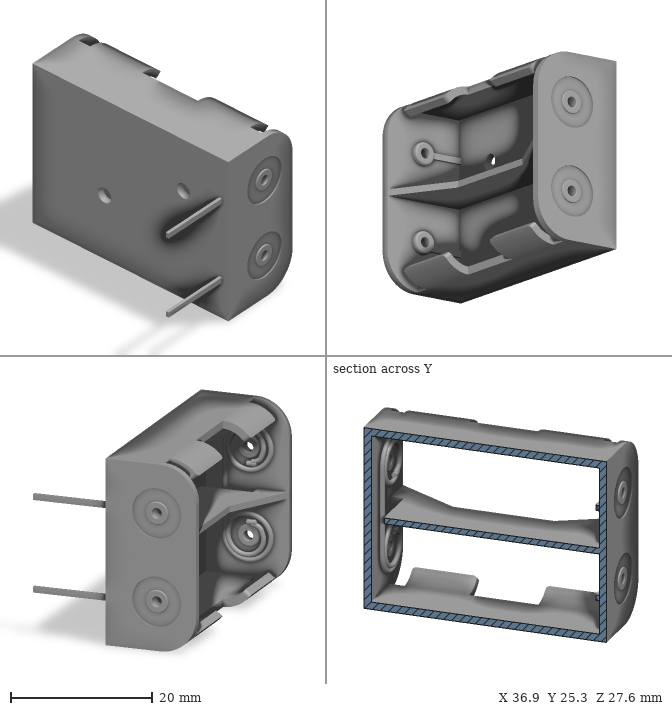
import cadquery as cq
import math


LENGTH = 36.88
DEPTH = 13.83
HEIGHT = 27.6
WALL = 1.18
CORNER_RADIUS = 5.42
ARC_START_Y = DEPTH - CORNER_RADIUS
ARC_CENTER_Z = HEIGHT / 2 - CORNER_RADIUS
RIM_Y = ARC_START_Y + 0.15
INNER_END_X = LENGTH / 2 - WALL

CELL_Y = 7.82
CELL_Z = 6.53
DIVIDER = 0.95
BAY_TOP_Z = HEIGHT / 2 - WALL

CLIP_INNER_X = 5.25
CLIP_OUTER_X = 15.05
CLIP_RISE = 4.35
CLIP_CORNER_RADIUS = 0.55

GUSSET_LENGTH = 9.6
PASSAGE_LENGTH = 1.95
PASSAGE_TOP_Y = 9.15

MOUNT_HOLE_RADIUS = 1.25
MOUNT_HOLES = [(10.0, 4.9), (-4.83, -2.75)]

RECESS_RADIUS = 3.72
RECESS_DEPTH = 0.25
HEAD_RADIUS = 1.7
HEAD_THICKNESS = 0.45
INNER_HEAD_FILLET = 0.35
OUTER_HEAD_FILLET = 0.15
SHANK_RADIUS = 1.3
BORE_RADIUS = 0.75
BORE_FILLET = 0.1

TERMINAL_THICKNESS = 0.5
PIN_WIDTH = 0.9
PIN_LENGTH = 11.47
LOWER_PIN_OFFSET = -0.63
TERMINALS = [(CELL_Z, CELL_Z), (-CELL_Z, -CELL_Z + LOWER_PIN_OFFSET)]

WIRE_RADIUS = 0.37
WIRE_GAP = 0.1
COIL_RADIUS = 3.5
COIL_END_RADIUS = 2.2
COIL_RISE = 0.4
COIL_TURNS = 1.25
COIL_POINTS = 20


def box(x_range, y_range, z_range):
    """Box between the given limits on each axis."""
    size = [high - low for low, high in (x_range, y_range, z_range)]
    return cq.Workplane("XY").box(*size, centered=False).translate((x_range[0], y_range[0], z_range[0]))


def x_cylinder(radius, x_start, x_end, z):
    """Cylinder along X, centred on the cell axis at height z."""
    return cq.Workplane("YZ", origin=(x_start, CELL_Y, z)).circle(radius).extrude(x_end - x_start)


def make_shell():
    """Tray with rounded end plates, open bays and low side walls."""
    shell = box((-LENGTH / 2, LENGTH / 2), (0, DEPTH), (-HEIGHT / 2, HEIGHT / 2))
    shell = shell.edges("|X and >Y").fillet(CORNER_RADIUS)
    inside_x = (-INNER_END_X, INNER_END_X)
    shell = shell.cut(box(inside_x, (RIM_Y, DEPTH), (-HEIGHT / 2, HEIGHT / 2)))
    for z_range in ((DIVIDER / 2, BAY_TOP_Z), (-BAY_TOP_Z, -DIVIDER / 2)):
        shell = shell.cut(box(inside_x, (WALL, DEPTH), z_range))
    return shell


def make_clip():
    """Curved clip at +X +Z: an arc strip ending in a radial face with rounded corners."""
    tip_angle = math.asin(CLIP_RISE / CORNER_RADIUS)

    def on_arc(radius, angle):
        return (ARC_START_Y + radius * math.sin(angle), ARC_CENTER_Z + radius * math.cos(angle))

    inner_radius = CORNER_RADIUS - WALL
    clip = (
        cq.Workplane("YZ", origin=(CLIP_INNER_X, 0, 0))
        .moveTo(*on_arc(CORNER_RADIUS, 0))
        .threePointArc(on_arc(CORNER_RADIUS, tip_angle / 2), on_arc(CORNER_RADIUS, tip_angle))
        .lineTo(*on_arc(inner_radius, tip_angle))
        .threePointArc(on_arc(inner_radius, tip_angle / 2), on_arc(inner_radius, 0))
        .close()
        .extrude(CLIP_OUTER_X - CLIP_INNER_X)
    )
    radial = cq.Vector(0, math.sin(tip_angle), math.cos(tip_angle))
    return clip.edges(cq.selectors.ParallelDirSelector(radial)).fillet(CLIP_CORNER_RADIUS)


def make_gusset():
    """Sloping web on the divider, bracing the +X end wall."""
    return (
        cq.Workplane("XY", origin=(0, 0, -DIVIDER / 2))
        .moveTo(INNER_END_X, RIM_Y)
        .lineTo(INNER_END_X, DEPTH)
        .lineTo(INNER_END_X - GUSSET_LENGTH, RIM_Y)
        .close()
        .extrude(DIVIDER)
    )


def make_housing():
    housing = make_shell()
    clip = make_clip()
    gusset = make_gusset()
    for upper_clip in (clip, clip.mirror("YZ")):
        housing = housing.union(upper_clip).union(upper_clip.mirror("XY"))
    housing = housing.union(gusset).union(gusset.mirror("YZ"))

    passage_x = (-INNER_END_X, -INNER_END_X + PASSAGE_LENGTH)
    housing = housing.cut(box(passage_x, (WALL, PASSAGE_TOP_Y), (-DIVIDER / 2, DIVIDER / 2)))

    for x, z in MOUNT_HOLES:
        hole = cq.Workplane("XZ", origin=(x, 0, z)).circle(MOUNT_HOLE_RADIUS).extrude(-WALL)
        housing = housing.cut(hole)

    for z in (CELL_Z, -CELL_Z):
        housing = housing.cut(x_cylinder(SHANK_RADIUS, -LENGTH / 2, LENGTH / 2, z))
        recess = x_cylinder(RECESS_RADIUS, LENGTH / 2 - RECESS_DEPTH, LENGTH / 2, z)
        housing = housing.cut(recess).cut(recess.mirror("YZ"))

    for _, pin_z in TERMINALS:
        housing = housing.cut(make_pin(0, WALL, pin_z))
    return housing


def make_pin(y_start, y_end, z):
    """Flat pin lying against the inner face of the +X end wall."""
    x_range = (INNER_END_X - TERMINAL_THICKNESS, INNER_END_X)
    return box(x_range, (y_start, y_end), (z - PIN_WIDTH / 2, z + PIN_WIDTH / 2))


def make_terminal(cell_z, pin_z):
    """Round eyelet under the rivet head with a long pin through the base."""
    eyelet = x_cylinder(HEAD_RADIUS, INNER_END_X - TERMINAL_THICKNESS, INNER_END_X, cell_z)
    terminal = eyelet.union(make_pin(-PIN_LENGTH, CELL_Y, pin_z))
    return terminal.cut(x_cylinder(SHANK_RADIUS, 0, LENGTH / 2, cell_z))


def make_rivet(z, clamped_thickness):
    """Hollow rivet in the +X end wall, clamping the given thickness inside the wall."""
    head_seat_x = INNER_END_X - clamped_thickness
    inner_end_x = head_seat_x - HEAD_THICKNESS
    outer_end_x = LENGTH / 2
    inner_head = x_cylinder(HEAD_RADIUS, inner_end_x, head_seat_x, z)
    inner_head = inner_head.edges("<X").fillet(INNER_HEAD_FILLET)
    outer_head = x_cylinder(HEAD_RADIUS, outer_end_x - RECESS_DEPTH, outer_end_x, z)
    outer_head = outer_head.edges(">X").fillet(OUTER_HEAD_FILLET)
    rivet = inner_head.union(outer_head).union(x_cylinder(SHANK_RADIUS, inner_end_x, outer_end_x, z))
    rivet = rivet.cut(x_cylinder(BORE_RADIUS, inner_end_x, outer_end_x, z))
    bore_rims = cq.selectors.RadiusNthSelector(0)
    return rivet.faces("<X or >X").edges(bore_rims).fillet(BORE_FILLET)


def make_spring_wire():
    """One wire: a conical coil in each bay, joined by a straight link below the cell axes."""
    base_x = -INNER_END_X + WIRE_GAP + WIRE_RADIUS

    def on_coil(fraction):
        radius = COIL_RADIUS + (COIL_END_RADIUS - COIL_RADIUS) * fraction
        angle = 2 * math.pi * COIL_TURNS * fraction
        y = CELL_Y + radius * math.cos(angle)
        z = CELL_Z - radius * math.sin(angle)
        return cq.Vector(base_x + COIL_RISE * fraction, y, z)

    link_y = CELL_Y - COIL_RADIUS
    link_start = cq.Vector(base_x, link_y, 0)
    link_end = cq.Vector(base_x, link_y, CELL_Z)
    arc_middle = cq.Vector(base_x, CELL_Y, CELL_Z + COIL_RADIUS)
    link = cq.Edge.makeLine(link_start, link_end)
    base_arc = cq.Edge.makeThreePointArc(link_end, arc_middle, on_coil(0))

    coil_points = [on_coil(i / COIL_POINTS) for i in range(COIL_POINTS + 1)]
    end_angle = 2 * math.pi * COIL_TURNS
    end_tangent = cq.Vector(0, -math.sin(end_angle), -math.cos(end_angle))
    coil = cq.Edge.makeSpline(coil_points, tangents=[cq.Vector(0, 0, -1), end_tangent])

    path = cq.Workplane(cq.Wire.assembleEdges([link, base_arc, coil]))
    upper = cq.Workplane("XY", origin=link_start.toTuple()).circle(WIRE_RADIUS).sweep(path)
    return upper.union(upper.mirror("XY"))


housing = make_housing()
spring_wire = make_spring_wire()
terminals = [make_terminal(cell_z, pin_z) for cell_z, pin_z in TERMINALS]
terminal_rivets = [make_rivet(z, TERMINAL_THICKNESS) for z in (CELL_Z, -CELL_Z)]
spring_rivets = [make_rivet(z, 0).mirror("YZ") for z in (CELL_Z, -CELL_Z)]

result = cq.Compound.makeCompound([
    housing.val(),
    spring_wire.val(),
    *[terminal.val() for terminal in terminals],
    *[rivet.val() for rivet in terminal_rivets + spring_rivets],
])